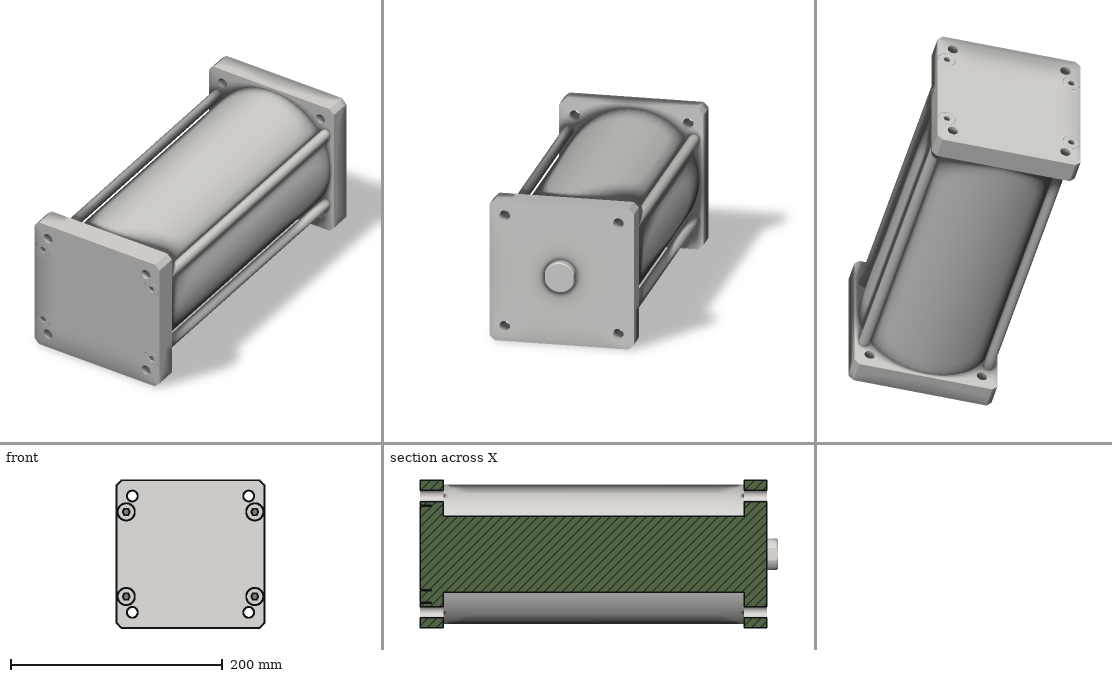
import cadquery as cq
import math

plate_side = 140.0
plate_thickness = 22.0
plate_corner_diameter = 191.0
mount_hole_diameter = 10.0
mount_hole_offset = 55.0

barrel_diameter = 132.0
barrel_length = 284.0
rod_diameter = 10.0
rod_offset_x = 60.75
rod_offset_z = 40.0

counterbore_diameter = 16.5
head_diameter = 16.0
head_height = 10.0
socket_across_flats = 6.0
socket_depth = 5.0

piston_diameter = 30.0
piston_across_flats = 27.7
piston_length = 10.0
piston_chamfer = 1.0
flat_clearance = 0.8

barrel_start = plate_thickness
barrel_end = barrel_start + barrel_length
rear_face = barrel_end + plate_thickness

corner_signs = [(sx, sz) for sx in (-1, 1) for sz in (-1, 1)]
rod_centres = [(sx * rod_offset_x, sz * rod_offset_z) for sx, sz in corner_signs]
mount_centres = [(sx * mount_hole_offset, sz * mount_hole_offset) for sx, sz in corner_signs]


def plane_at(y):
    """Work plane across the axis at the given Y, extruding toward +Y, local axes -X and Z."""
    return cq.Workplane(cq.Plane(origin=(0, y, 0), xDir=(-1, 0, 0), normal=(0, 1, 0)))


def end_plate(y):
    plate = plane_at(y).rect(plate_side, plate_side).extrude(plate_thickness)
    turned_disc = plane_at(y).circle(plate_corner_diameter / 2).extrude(plate_thickness)
    holes = plane_at(y).pushPoints(mount_centres).circle(mount_hole_diameter / 2).extrude(plate_thickness)
    return plate.intersect(turned_disc).cut(holes)


def barrel():
    return plane_at(barrel_start).circle(barrel_diameter / 2).extrude(barrel_length)


def tie_rods():
    return plane_at(barrel_start).pushPoints(rod_centres).circle(rod_diameter / 2).extrude(barrel_length)


def screw_head_cuts():
    """Ring gap around each screw head plus its hexagon socket."""
    ring = (
        plane_at(0)
        .pushPoints(rod_centres)
        .circle(counterbore_diameter / 2)
        .circle(head_diameter / 2)
        .extrude(head_height)
    )
    socket_across_corners = socket_across_flats / math.cos(math.pi / 6)
    socket = plane_at(0).pushPoints(rod_centres).polygon(6, socket_across_corners).extrude(socket_depth)
    return ring.union(socket)


def piston_end():
    end = plane_at(rear_face).circle(piston_diameter / 2).extrude(piston_length)
    end = end.faces(">Y").chamfer(piston_chamfer)
    flat_start = rear_face + flat_clearance
    flat_length = piston_length - flat_clearance
    flats = (
        plane_at(flat_start)
        .rect(2 * piston_diameter, 2 * piston_diameter)
        .rect(piston_across_flats, 2 * piston_diameter)
        .extrude(flat_length)
    )
    return end.cut(flats)


front_plate = end_plate(0).cut(screw_head_cuts())
result = (
    barrel()
    .union(tie_rods())
    .union(front_plate)
    .union(end_plate(barrel_end))
    .union(piston_end())
)
result = result.translate((0, -(rear_face + piston_length) / 2, 0))